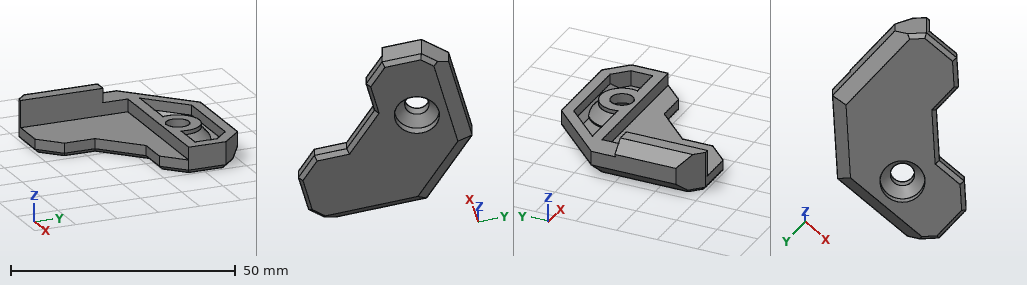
import cadquery as cq
import math

size = 40.0
corner_cut = 4.95
long_cut = 14.15
arm_width = 18.95
notch_fill = 8.65

plate_top = 3.35
block_top = 6.4
rail_top = 9.8

block_front = 26.0
rail_width = 5.9
rail_end = 20.0
rail_bevel = 2.8

small_bevel = 0.95
large_bevel = 2.95

wall = 2.55
front_wall = 2.65
boss_x = 24.6
boss_y = 30.0
bore_radius = 5.4 / 2
head_radius = 10.0 / 2
head_depth = 1.95
seat_top = 4.1
boss_cone_bottom = 2.9
boss_cone_top = 5.45


def extrude_outline(points, bottom, top):
    return cq.Workplane("XY").workplane(offset=bottom).polyline(points).close().extrude(top - bottom)


def box(x_range, y_range, z_range):
    lengths = [high - low for low, high in (x_range, y_range, z_range)]
    corner = (x_range[0], y_range[0], z_range[0])
    return cq.Workplane("XY").box(*lengths, centered=False).translate(corner)


def edge_wedge(start, end, height, leg, rise):
    """Triangular bar along a straight edge, overrunning both ends; material lies to the left."""
    dx = end[0] - start[0]
    dy = end[1] - start[1]
    plane = cq.Plane(origin=(start[0], start[1], height), xDir=(-dy, dx, 0), normal=(dx, dy, 0))
    bar = cq.Workplane(plane).workplane(offset=-size)
    return bar.polyline([(0, 0), (leg, 0), (0, rise)]).close().extrude(3 * size)


def revolve_profile(points):
    profile = cq.Workplane("XZ").polyline(points).close()
    return profile.revolve(360, (0, 0, 0), (0, 1, 0)).translate((boss_x, boss_y, 0))


inner_edge = size - arm_width
outline = [
    (corner_cut, 0),
    (arm_width - corner_cut, 0),
    (arm_width, corner_cut),
    (arm_width, inner_edge - notch_fill),
    (arm_width + notch_fill, inner_edge),
    (size - corner_cut, inner_edge),
    (size, inner_edge + corner_cut),
    (size, size - corner_cut),
    (size - corner_cut, size),
    (long_cut, size),
    (0, size - long_cut),
    (0, corner_cut),
]

body = extrude_outline(outline, 0, rail_top).faces("<Z").edges().chamfer(small_bevel)
body = body.cut(box((rail_width, size), (0, block_front), (plate_top, rail_top)))
body = body.cut(box((0, size), (block_front, size), (block_top, rail_top)))
body = body.cut(box((0, rail_width), (rail_end, block_front), (block_top, rail_top)))

for start, end in zip(outline[8:11], outline[9:12]):
    body = body.cut(edge_wedge(start, end, 0, large_bevel, large_bevel))

body = body.cut(edge_wedge(outline[10], outline[11], rail_top, rail_bevel, -rail_bevel))

pocket_front = block_front + front_wall
pocket_back = size - wall
diagonal_inset = wall * math.sqrt(2)
diagonal_rise = size - long_cut - diagonal_inset
corner_sum = 2 * size - corner_cut - diagonal_inset
pocket_outline = [
    (pocket_front - diagonal_rise, pocket_front),
    (pocket_back, pocket_front),
    (pocket_back, corner_sum - pocket_back),
    (corner_sum - pocket_back, pocket_back),
    (pocket_back - diagonal_rise, pocket_back),
]
pocket_slope = large_bevel + (math.sqrt(2) - 2) * wall
pocket = extrude_outline(pocket_outline, wall, block_top)
back_left = pocket_outline[4]
for start, end in ((pocket_outline[3], back_left), (back_left, pocket_outline[0])):
    pocket = pocket.cut(edge_wedge(start, end, wall, pocket_slope, pocket_slope))

boss = revolve_profile([
    (0, 0),
    (head_radius + wall, 0),
    (head_radius + wall, boss_cone_bottom),
    (bore_radius + wall, boss_cone_top),
    (bore_radius + wall, block_top),
    (0, block_top),
])
body = body.cut(pocket.cut(boss))

screw_hole = revolve_profile([
    (0, 0),
    (head_radius, 0),
    (head_radius, head_depth),
    (bore_radius, seat_top),
    (bore_radius, block_top),
    (0, block_top),
])
result = body.cut(screw_hole)